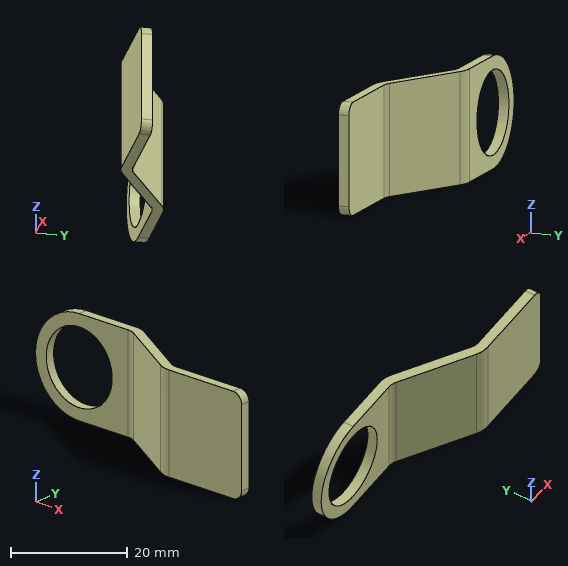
import cadquery as cq
import math

length = 55.0
height = 20.0
depth = 11.0
thickness = 2.0

eye_radius = height / 2
hole_diameter = 15.0
corner_radius = 2.0

bend_angle = math.radians(31)
inner_bend_radius = 3.0
outer_bend_radius = inner_bend_radius + thickness
eye_to_bend = 12.05

offset = depth - thickness
tab_end = length - eye_radius


def bent_strip():
    """Constant-thickness strip with two opposite bends, hole centre at X = 0."""
    upper_x = eye_to_bend
    lower_x = upper_x + offset / math.tan(bend_angle)
    back_shift = thickness * math.tan(bend_angle / 2)
    front_face = [(-eye_radius, offset), (upper_x, offset), (lower_x, 0), (tab_end, 0)]
    back_face = [
        (tab_end, thickness),
        (lower_x + back_shift, thickness),
        (upper_x + back_shift, depth),
        (-eye_radius, depth),
    ]
    strip = cq.Workplane("XY").polyline(front_face + back_face).close().extrude(height / 2, both=True)

    def round_bend(body, corner, radius):
        nearest = cq.selectors.NearestToPointSelector((*corner, 0))
        return body.edges("|Z").edges(nearest).fillet(radius)

    strip = round_bend(strip, front_face[1], inner_bend_radius)
    strip = round_bend(strip, front_face[2], outer_bend_radius)
    strip = round_bend(strip, back_face[1], inner_bend_radius)
    return round_bend(strip, back_face[2], outer_bend_radius)


def face_outline():
    """Blank seen along Y: round eye at the left, rounded tab corners at the right."""
    eye = cq.Workplane("XZ").circle(eye_radius).extrude(-depth)
    body = cq.Workplane("XZ").rect(tab_end, height).extrude(-depth).translate((tab_end / 2, 0, 0))
    body = body.edges("|Y and >X").fillet(corner_radius)
    return eye.union(body)


eye_hole = cq.Workplane("XZ").circle(hole_diameter / 2).extrude(-depth)
result = bent_strip().intersect(face_outline()).cut(eye_hole)